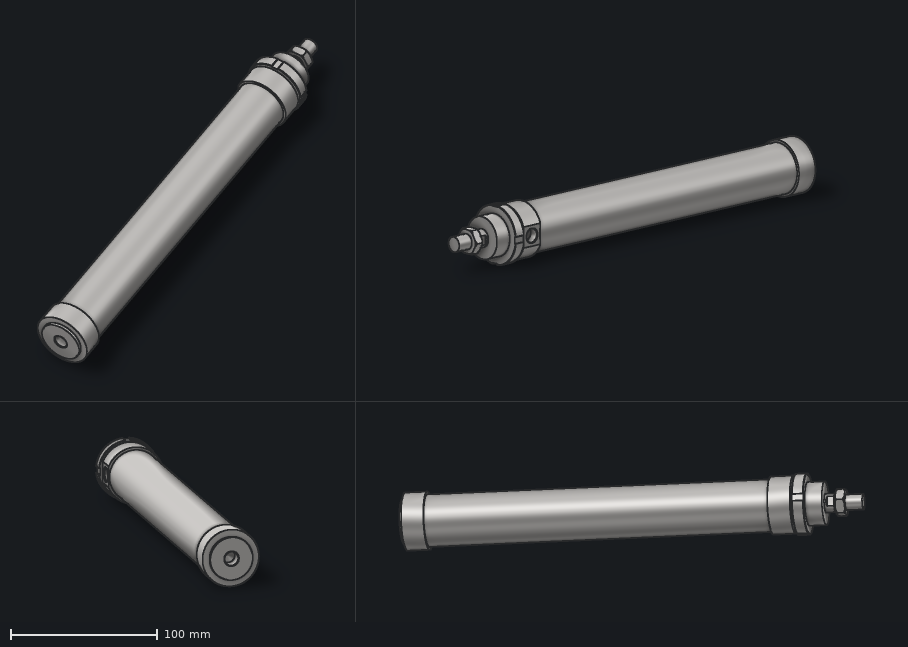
import cadquery as cq
import math

overall_length = 319.5

rear_boss_length = 2.2
rear_cap_end = 17.5
head_rear = 256.2
head_front = 272.0
nose_front = 293.3
boss_diameter = 30.0
cap_diameter = 40.0
tube_diameter = 36.0

hole_chamfer = 0.48

port_flat_distance = 18.5
port_diameter = 9.5
port_depth = 6.5

rear_hole_diameter = 9.5
rear_hole_depth = 9.5
drill_point_angle = 118.0

ring_nut_rear = 273.5
ring_nut_thickness = 8.0
ring_nut_diameter = 42.2
ring_nut_chamfer = 0.3
slot_count = 4
slot_width = 4.8
slot_depth = 1.0

rod_diameter = 12.8
rod_shoulder = 300.0
wrench_flat_rear = 295.5
wrench_flat_width = 11.0
thread_diameter = 11.0
undercut_diameter = 9.5
undercut_length = 1.3

lock_nut_rear = 301.3
lock_nut_thickness = 6.5
lock_nut_flats = 17.0
lock_nut_corner_chamfer = 1.0


def disc(diameter, start, end):
    """Solid cylinder on the Y axis from Y = start to Y = end."""
    return cq.Workplane("XZ", origin=(0, start, 0)).circle(diameter / 2).extrude(start - end)


def make_barrel():
    """Tube with both end caps, the rear boss and the nose."""
    barrel = (
        disc(boss_diameter, 0, rear_boss_length)
        .union(disc(cap_diameter, rear_boss_length, rear_cap_end))
        .union(disc(tube_diameter, rear_cap_end, head_rear))
        .union(disc(cap_diameter, head_rear, head_front))
        .union(disc(boss_diameter, head_front, nose_front))
    )
    return barrel.cut(port_cutter()).cut(rear_hole_cutter())


def port_cutter():
    """Flat on the -X side of the head, with a countersunk blind port in its middle."""
    head_length = head_front - head_rear
    head_middle = (head_front + head_rear) / 2
    radius = port_diameter / 2
    flat_plane = cq.Workplane("YZ", origin=(-port_flat_distance, head_middle, 0))
    flat = flat_plane.rect(head_length, cap_diameter).extrude(-cap_diameter)
    port = flat_plane.circle(radius).extrude(port_depth)
    countersink = flat_plane.circle(radius + hole_chamfer).extrude(hole_chamfer, taper=45)
    return flat.union(port).union(countersink)


def rear_hole_cutter():
    """Countersunk blind hole in the rear face, ending in a drill point."""
    radius = rear_hole_diameter / 2
    point_length = radius / math.tan(math.radians(drill_point_angle / 2))
    return (
        cq.Workplane("XY")
        .polyline([
            (0, 0),
            (radius + hole_chamfer, 0),
            (radius, hole_chamfer),
            (radius, rear_hole_depth),
            (0, rear_hole_depth + point_length),
        ])
        .close()
        .revolve(360, (0, 0, 0), (0, 1, 0))
    )


def make_ring_nut():
    """Round nut on the nose, with chamfered rims and evenly spaced slots across its edge."""
    ring_nut_front = ring_nut_rear + ring_nut_thickness
    blank = disc(ring_nut_diameter, ring_nut_rear, ring_nut_front)
    nut = blank.edges().chamfer(ring_nut_chamfer)
    nut = nut.cut(disc(boss_diameter, ring_nut_rear, ring_nut_front))
    slot = cq.Workplane("XY").box(slot_width, ring_nut_thickness, 2 * slot_depth).translate(
        (0, ring_nut_rear + ring_nut_thickness / 2, ring_nut_diameter / 2)
    )
    for index in range(slot_count):
        nut = nut.cut(slot.rotate((0, 0, 0), (0, 1, 0), index * 360 / slot_count))
    return nut


def make_rod():
    """Rod end standing on the nose: wrench flats with sloped ends, undercut and thread."""
    undercut_end = rod_shoulder + undercut_length
    rod = (
        disc(rod_diameter, nose_front, rod_shoulder)
        .union(disc(undercut_diameter, rod_shoulder, undercut_end))
        .union(disc(thread_diameter, undercut_end, overall_length))
    )
    half_width = wrench_flat_width / 2
    flat_depth = rod_diameter / 2 - half_width
    flat = (
        cq.Workplane("XY", origin=(0, 0, -rod_diameter / 2))
        .polyline([
            (half_width, rod_shoulder),
            (half_width, wrench_flat_rear),
            (half_width + flat_depth, wrench_flat_rear - flat_depth),
            (half_width + flat_depth, rod_shoulder),
        ])
        .close()
        .extrude(rod_diameter)
    )
    rod = rod.cut(flat).cut(flat.mirror("YZ"))
    return rod


def make_lock_nut():
    """Hexagonal nut with corners on the X axis, chamfered at both faces."""
    corner_radius = lock_nut_flats / math.sqrt(3)
    front = lock_nut_rear + lock_nut_thickness
    hexagon = (
        cq.Workplane("XZ", origin=(0, lock_nut_rear, 0))
        .polygon(6, 2 * corner_radius)
        .extrude(-lock_nut_thickness)
    )
    blank = disc(2 * corner_radius, lock_nut_rear, front)
    chamfered_disc = blank.edges().chamfer(lock_nut_corner_chamfer)
    return hexagon.intersect(chamfered_disc).cut(disc(thread_diameter, lock_nut_rear, front))


barrel = make_barrel()
ring_nut = make_ring_nut()
rod = make_rod()
lock_nut = make_lock_nut()

result = cq.Compound.makeCompound([barrel.val(), ring_nut.val(), rod.val(), lock_nut.val()])